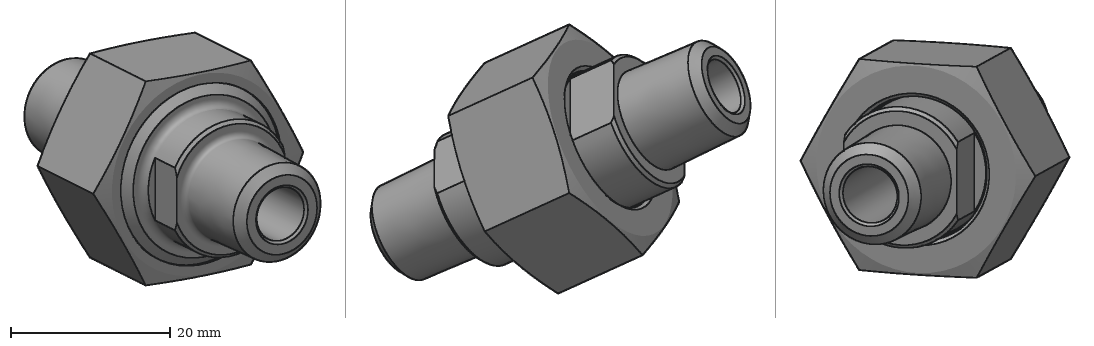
import cadquery as cq
import math


total_length = 51.5
tail_collar_start = 11.95
nut_start = 18.0
nut_end = 32.5
flange_end = 33.35
body_collar_end = 39.5

pipe_tip_radius = 5.2
pipe_small_radius = 6.5
pipe_large_radius = 6.75
pipe_chamfer_length = 1.2

collar_radius = 18.0 / 2
collar_chamfer = 0.45
tail_flats_end = 18.75
tail_flats_width = 15.0
body_flats_width = 16.0
collar_fillet = 1.0
neck_fillet = 0.75

tail_bore_radius = 7.2 / 2
body_bore_radius = 7.0 / 2
bore_chamfer = 0.35

across_flats = 27.0
hex_chamfer_radius = 13.25
hex_chamfer_length = 0.65
lip_bore_radius = 18.5 / 2
lip_bore_chamfer = 0.45
lip_thickness = 2.6
nut_bore_radius = 23.85 / 2

shoulder_radius = 22.0 / 2
shoulder_thickness = 3.1
shoulder_start = nut_start + lip_thickness
joint_face = shoulder_start + shoulder_thickness
flange_radius = nut_bore_radius
flange_chamfer = 1.3


def revolve_about_x(profile):
    """Turn a closed (x, radius) profile about the X axis."""
    return profile.close().revolve(360, (0, 0, 0), (1, 0, 0))


def chamfered_bore(start, end, radius, chamfered_end):
    """Cylindrical cutter from start to end with a 45 degree countersink at chamfered_end."""
    inward = math.copysign(bore_chamfer, (start + end) / 2 - chamfered_end)
    cylinder = cq.Workplane("YZ", origin=(start, 0, 0)).circle(radius).extrude(end - start)
    countersink = revolve_about_x(
        cq.Workplane("XY")
        .moveTo(chamfered_end, 0)
        .lineTo(chamfered_end, radius + bore_chamfer)
        .lineTo(chamfered_end + inward, radius)
        .lineTo(chamfered_end + inward, 0)
    )
    return cylinder.union(countersink)


def flats_cutter(start, end, width):
    """Two blocks that leave the given width between flats facing -Y and +Y."""
    length = end - start
    envelope = 4 * collar_radius
    outer = cq.Workplane("XY").box(length, envelope, envelope)
    kept = cq.Workplane("XY").box(length, width, envelope)
    return outer.cut(kept).translate(((start + end) / 2, 0, 0))


def make_tailpiece():
    turned = revolve_about_x(
        cq.Workplane("XY")
        .moveTo(0, 0)
        .lineTo(0, pipe_tip_radius)
        .lineTo(pipe_chamfer_length, pipe_small_radius)
        .lineTo(tail_collar_start, pipe_large_radius)
        .lineTo(tail_collar_start, collar_radius - collar_chamfer)
        .lineTo(tail_collar_start + collar_chamfer, collar_radius)
        .lineTo(shoulder_start, collar_radius)
        .lineTo(shoulder_start, shoulder_radius)
        .lineTo(joint_face, shoulder_radius)
        .lineTo(joint_face, 0)
    )
    flats = flats_cutter(tail_collar_start, tail_flats_end, tail_flats_width)
    bore = chamfered_bore(0, joint_face, tail_bore_radius, 0)
    return turned.cut(flats).cut(bore)


def make_body():
    flats_start = flange_end + collar_fillet
    neck_end = body_collar_end + neck_fillet
    arc_offset = 1 - math.sqrt(0.5)
    turned = revolve_about_x(
        cq.Workplane("XY")
        .moveTo(joint_face, 0)
        .lineTo(joint_face, flange_radius)
        .lineTo(flange_end - flange_chamfer, flange_radius)
        .lineTo(flange_end, flange_radius - flange_chamfer)
        .lineTo(flange_end, collar_radius + collar_fillet)
        .threePointArc(
            (flange_end + arc_offset * collar_fillet, collar_radius + arc_offset * collar_fillet),
            (flats_start, collar_radius),
        )
        .lineTo(body_collar_end - collar_chamfer, collar_radius)
        .lineTo(body_collar_end, collar_radius - collar_chamfer)
        .lineTo(body_collar_end, pipe_large_radius + neck_fillet)
        .threePointArc(
            (body_collar_end + arc_offset * neck_fillet, pipe_large_radius + arc_offset * neck_fillet),
            (neck_end, pipe_large_radius),
        )
        .lineTo(total_length - pipe_chamfer_length, pipe_small_radius)
        .lineTo(total_length, pipe_tip_radius)
        .lineTo(total_length, 0)
    )
    flats = flats_cutter(flats_start, body_collar_end, body_flats_width)
    bore = chamfered_bore(joint_face, total_length, body_bore_radius, total_length)
    return turned.cut(flats).cut(bore)


def make_nut():
    corner_radius = across_flats / math.sqrt(3)
    hexagon = (
        cq.Workplane("YZ", origin=(nut_start, 0, 0))
        .polygon(6, 2 * corner_radius)
        .extrude(nut_end - nut_start)
    )
    corner_chamfers = revolve_about_x(
        cq.Workplane("XY")
        .moveTo(nut_start, 0)
        .lineTo(nut_start, hex_chamfer_radius)
        .lineTo(nut_start + hex_chamfer_length, corner_radius)
        .lineTo(nut_end - hex_chamfer_length, corner_radius)
        .lineTo(nut_end, hex_chamfer_radius)
        .lineTo(nut_end, 0)
    )
    stepped_bore = revolve_about_x(
        cq.Workplane("XY")
        .moveTo(nut_start, 0)
        .lineTo(nut_start, lip_bore_radius + lip_bore_chamfer)
        .lineTo(nut_start + lip_bore_chamfer, lip_bore_radius)
        .lineTo(shoulder_start, lip_bore_radius)
        .lineTo(shoulder_start, nut_bore_radius)
        .lineTo(nut_end, nut_bore_radius)
        .lineTo(nut_end, 0)
    )
    return hexagon.intersect(corner_chamfers).cut(stepped_bore)


tailpiece = make_tailpiece()
body = make_body()
nut = make_nut()

result = cq.Compound.makeCompound([part.solids().val() for part in (tailpiece, body, nut)])